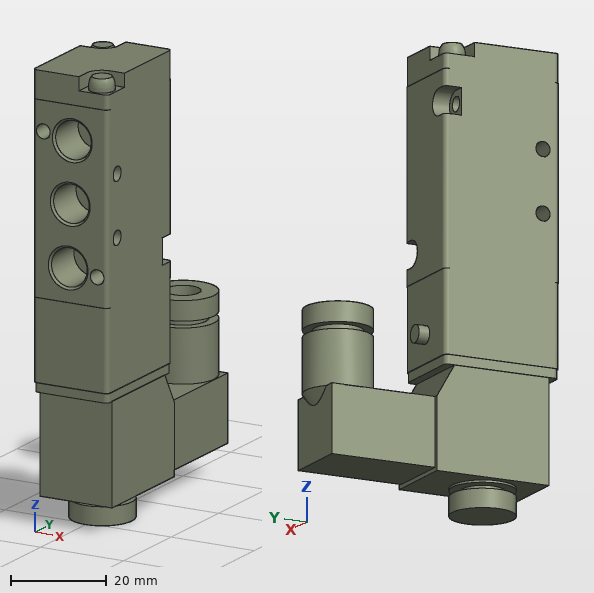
import cadquery as cq


BODY_WIDTH = 18.0
BODY_DEPTH = 27.1
CORNER_RADIUS = 1.0
END_INSET = 0.1
PLATE_INSET = 0.3
PLATE_WIDTH = 17.7
TOP_Z = 99.7
CAP_BASE_Z = 93.3
VALVE_BASE_Z = 50.0
LOWER_BASE_Z = 31.4
PLATE_BASE_Z = 29.3

SCREW_EDGE = 3.4
NOTCH_RADIUS = 3.6
NOTCH_DEPTH = 3.1
SCREW_DIA = 5.6
SCREW_RIM = 0.9
SCREW_TOP_DIA = 4.3
SCREW_HEIGHT = 2.9
SCREW_BULGE = 0.2

PORT_DIA = 8.6
PORT_CHAMFER = 0.5
PORT_DEPTH = 10.0
PORT_PITCH = 14.0
PORT_STAGGER = 0.5
MIDDLE_PORT_Z = 71.6

MOUNT_HOLE_DIA = 3.3
FRONT_HOLE_X = 6.5
FRONT_HOLE_RISE = 15.0
RECESS_WIDTH = 6.0
RECESS_DEPTH = 4.0
SIDE_HOLE_Y = 4.0

PIN_DIA = 4.0
PIN_LENGTH = 2.4
PIN_Z = 37.6

COIL_WIDTH = 17.3
COIL_FRONT_Y = 2.4
COIL_REAR_Y = 28.7
COIL_BASE_Z = 6.0
COIL_SLOPE_Y = 24.6
CONNECTOR_WIDTH = 15.5
CONNECTOR_REAR_Y = 52.9
CONNECTOR_BASE_Z = 6.9
CONNECTOR_TOP_Z = 22.2

FITTING_DIA = 15.0
FITTING_GROOVE_DIA = 10.8
FITTING_HOLE_DIA = 7.5
FITTING_HOLE_DEPTH = 12.0
FITTING_REAR_Y = 55.0
FITTING_TOP_Z = 40.5
FITTING_GROOVE_TOP_Z = 36.0
FITTING_GROOVE_BASE_Z = 34.5
FITTING_CONE_TIP_RADIUS = 4.0
FITTING_CONE_HEIGHT = 5.0

KNOB_DIA = 14.2
KNOB_NECK_DIA = 9.2
KNOB_TOP_Z = 4.2
KNOB_FLANGE_Z = 5.5


def block(width, y_front, y_rear, z_base, z_top):
    """Box centred on X between the given Y and Z limits."""
    size = (width, y_rear - y_front, z_top - z_base)
    return cq.Workplane("XY").box(*size, centered=(True, False, False)).translate((0, y_front, z_base))


def rounded_section(width, inset, z_base, z_top):
    """Body section with rounded vertical corners."""
    return block(width, inset, BODY_DEPTH - inset, z_base, z_top).edges("|Z").fillet(CORNER_RADIUS)


def disc(diameter, x, y, z_base, z_top):
    """Vertical cylinder."""
    return cq.Workplane("XY", origin=(x, y, z_base)).circle(diameter / 2).extrude(z_top - z_base)


def bore(diameter, x, z, y_start, length):
    """Cylinder running in +Y."""
    return cq.Workplane("XZ", origin=(x, y_start, z)).circle(diameter / 2).extrude(-length)


def cap_notch(side, toward_rear):
    """Round-cornered notch open to one side (-1 or 1) and to the front or rear (-1 or 1)."""
    x = side * (BODY_WIDTH / 2 - SCREW_EDGE)
    y = screw_y(toward_rear)
    z = TOP_Z - NOTCH_DEPTH
    across = 2 * NOTCH_RADIUS
    notch = disc(across, x, y, z, TOP_Z)
    for dx, dy in [(side, 0), (0, toward_rear), (side, toward_rear)]:
        center = (x + dx * NOTCH_RADIUS, y + dy * NOTCH_RADIUS, z)
        notch = notch.union(
            cq.Workplane("XY", origin=center).rect(across, across).extrude(NOTCH_DEPTH)
        )
    return notch


def screw_y(toward_rear):
    """Y of the screw axis near the front (-1) or rear (1) face of the cap."""
    edge = END_INSET + SCREW_EDGE
    return BODY_DEPTH - edge if toward_rear > 0 else edge


def screw_head(side, toward_rear):
    """Screw head with a short rim, a bowed flank and a flat top."""
    rim = SCREW_DIA / 2
    top = SCREW_TOP_DIA / 2
    flank_middle = ((rim + top) / 2 + SCREW_BULGE, (SCREW_RIM + SCREW_HEIGHT) / 2)
    head = (
        cq.Workplane("XZ")
        .lineTo(rim, 0)
        .lineTo(rim, SCREW_RIM)
        .threePointArc(flank_middle, (top, SCREW_HEIGHT))
        .lineTo(0, SCREW_HEIGHT)
        .close()
        .revolve(360, (0, 0), (0, 1))
    )
    x = side * (BODY_WIDTH / 2 - SCREW_EDGE)
    return head.translate((x, screw_y(toward_rear), TOP_Z - NOTCH_DEPTH))


def port(x, z):
    """Blind port with a chamfered mouth."""
    radius = PORT_DIA / 2
    mouth = cq.Solid.makeCone(
        radius + PORT_CHAMFER, radius, PORT_CHAMFER, cq.Vector(x, 0, z), cq.Vector(0, 1, 0)
    )
    return bore(PORT_DIA, x, z, 0, PORT_DEPTH).union(cq.Workplane(mouth))


def front_mount_hole(side, z):
    """Through hole with a round-ended rear recess that opens at the side of the body."""
    x = side * FRONT_HOLE_X
    recess_y = BODY_DEPTH - RECESS_DEPTH
    recess = bore(RECESS_WIDTH, x, z, recess_y, RECESS_DEPTH)
    opening = (
        cq.Workplane("XZ", origin=(x + side * RECESS_WIDTH / 2, recess_y, z))
        .rect(RECESS_WIDTH, RECESS_WIDTH)
        .extrude(-RECESS_DEPTH)
    )
    return bore(MOUNT_HOLE_DIA, x, z, 0, BODY_DEPTH).union(recess).union(opening)


def side_mount_hole(z):
    """Hole across the full width of the body."""
    return (
        cq.Workplane("YZ", origin=(0, SIDE_HOLE_Y, z))
        .circle(MOUNT_HOLE_DIA / 2)
        .extrude(BODY_WIDTH / 2, both=True)
    )


def make_cap():
    cap = rounded_section(BODY_WIDTH, END_INSET, CAP_BASE_Z, TOP_Z)
    for side, toward_rear in [(-1, 1), (1, -1)]:
        cap = cap.cut(cap_notch(side, toward_rear)).union(screw_head(side, toward_rear))
    return cap


def make_valve():
    valve = rounded_section(BODY_WIDTH, 0, VALVE_BASE_Z, CAP_BASE_Z)
    for step in (-1, 0, 1):
        valve = valve.cut(port(step * PORT_STAGGER, MIDDLE_PORT_Z + step * PORT_PITCH))
    for direction in (-1, 1):
        valve = valve.cut(front_mount_hole(-direction, MIDDLE_PORT_Z + direction * FRONT_HOLE_RISE))
        valve = valve.cut(side_mount_hole(MIDDLE_PORT_Z + direction * PORT_PITCH / 2))
    return valve


def make_lower():
    """Lower section with the override pin, and the plate beneath it."""
    lower = rounded_section(BODY_WIDTH, END_INSET, LOWER_BASE_Z, VALVE_BASE_Z)
    plate = rounded_section(PLATE_WIDTH, PLATE_INSET, PLATE_BASE_Z, LOWER_BASE_Z)
    pin = bore(PIN_DIA, 0, PIN_Z, BODY_DEPTH / 2, BODY_DEPTH / 2 + PIN_LENGTH)
    return lower.union(plate).union(pin)


def make_coil():
    """Coil housing, sloped at its upper rear edge."""
    outline = [
        (COIL_FRONT_Y, COIL_BASE_Z),
        (COIL_REAR_Y, COIL_BASE_Z),
        (COIL_REAR_Y, CONNECTOR_TOP_Z),
        (COIL_SLOPE_Y, PLATE_BASE_Z),
        (COIL_FRONT_Y, PLATE_BASE_Z),
    ]
    return cq.Workplane("YZ").polyline(outline).close().extrude(COIL_WIDTH / 2, both=True)


def make_connector():
    """Connector arm with the grooved cable fitting, whose overhang tapers into the arm."""
    arm = block(CONNECTOR_WIDTH, COIL_REAR_Y, CONNECTOR_REAR_Y, CONNECTOR_BASE_Z, CONNECTOR_TOP_Z)
    y = FITTING_REAR_Y - FITTING_DIA / 2
    taper = cq.Solid.makeCone(
        FITTING_DIA / 2,
        FITTING_CONE_TIP_RADIUS,
        FITTING_CONE_HEIGHT,
        cq.Vector(0, y, CONNECTOR_TOP_Z),
        cq.Vector(0, 0, -1),
    )
    return (
        arm.union(cq.Workplane(taper))
        .union(disc(FITTING_DIA, 0, y, CONNECTOR_TOP_Z, FITTING_GROOVE_BASE_Z))
        .union(disc(FITTING_GROOVE_DIA, 0, y, FITTING_GROOVE_BASE_Z, FITTING_GROOVE_TOP_Z))
        .union(disc(FITTING_DIA, 0, y, FITTING_GROOVE_TOP_Z, FITTING_TOP_Z))
        .cut(disc(FITTING_HOLE_DIA, 0, y, FITTING_TOP_Z - FITTING_HOLE_DEPTH, FITTING_TOP_Z))
    )


def make_knob():
    """Knob, neck and thin flange on the body's centre line."""
    y = BODY_DEPTH / 2
    return (
        disc(KNOB_DIA, 0, y, 0, KNOB_TOP_Z)
        .union(disc(KNOB_NECK_DIA, 0, y, KNOB_TOP_Z, KNOB_FLANGE_Z))
        .union(disc(KNOB_DIA, 0, y, KNOB_FLANGE_Z, COIL_BASE_Z))
    )


result = (
    make_valve()
    .union(make_cap())
    .union(make_lower())
    .union(make_coil())
    .union(make_connector())
    .union(make_knob())
)